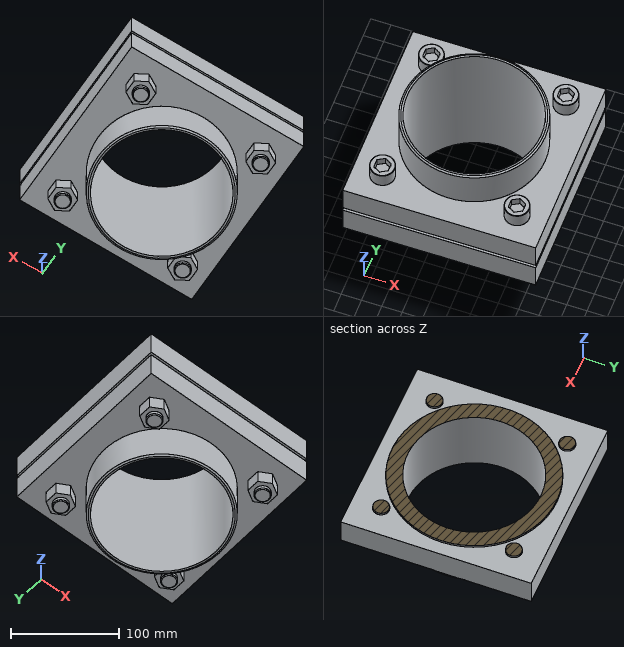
import cadquery as cq
import math

plate_side = 190
plate_thickness = 28.3
gasket_thickness = 4.0
gasket_diameter = 164.0
stack_half_height = gasket_thickness / 2 + plate_thickness

pipe_length = 140.0
pipe_outer_diameter = 139.6
pipe_bore = 131.7
pipe_bevel_width = 1.9
pipe_bevel_height = 1.1

bolt_spacing = 132.2
bolt_diameter = 16.0
bolt_length = 80.0
bolt_tip_chamfer = 1.0
head_diameter = 24.0
head_height = 15.5
head_chamfer = 0.4
socket_across_flats = 14.0
socket_depth = 8.0

nut_across_flats = 24.0
nut_height = 14.8


def cylinder(diameter, height, base_z):
    """Solid cylinder on the Z axis standing on base_z."""
    return cq.Workplane("XY", origin=(0, 0, base_z)).circle(diameter / 2).extrude(height)


def hexagon(across_flats, height, base_z):
    """Hexagonal prism on the Z axis with two of its flats facing -X and +X."""
    across_corners = across_flats / math.cos(math.pi / 6)
    prism = cq.Workplane("XY").polygon(6, across_corners).extrude(height)
    return prism.rotate((0, 0, 0), (0, 0, 1), 90).translate((0, 0, base_z))


def flange_plate(base_z):
    """Square plate standing on base_z."""
    return cq.Workplane("XY", origin=(0, 0, base_z)).rect(plate_side, plate_side).extrude(plate_thickness)


def gasket():
    """Disc filling the gap between the two plates."""
    return cylinder(gasket_diameter, gasket_thickness, -gasket_thickness / 2)


def pipe():
    """Solid pipe body with a welding bevel on the outer edge of both ends."""
    body = cylinder(pipe_outer_diameter, pipe_length, -pipe_length / 2)
    body = body.faces(">Z").chamfer(pipe_bevel_height, pipe_bevel_width)
    return body.faces("<Z").chamfer(pipe_bevel_height, pipe_bevel_width)


def bolt_with_nut():
    """Socket head bolt on the Z axis, head on the upper plate and nut under the lower one."""
    shank = cylinder(bolt_diameter, bolt_length, stack_half_height - bolt_length)
    shank = shank.faces("<Z").chamfer(bolt_tip_chamfer)
    head = cylinder(head_diameter, head_height, stack_half_height)
    head = head.faces(">Z").chamfer(head_chamfer)
    socket = hexagon(socket_across_flats, socket_depth, stack_half_height + head_height - socket_depth)
    nut = hexagon(nut_across_flats, nut_height, -stack_half_height - nut_height)
    return shank.union(head).cut(socket).union(nut)


body = flange_plate(gasket_thickness / 2).union(flange_plate(-stack_half_height))
body = body.union(gasket()).union(pipe())

bolt = bolt_with_nut()
for side_x in (-1, 1):
    for side_y in (-1, 1):
        body = body.union(bolt.translate((side_x * bolt_spacing / 2, side_y * bolt_spacing / 2, 0)))

bore = cylinder(pipe_bore, pipe_length, -pipe_length / 2)
result = body.cut(bore)